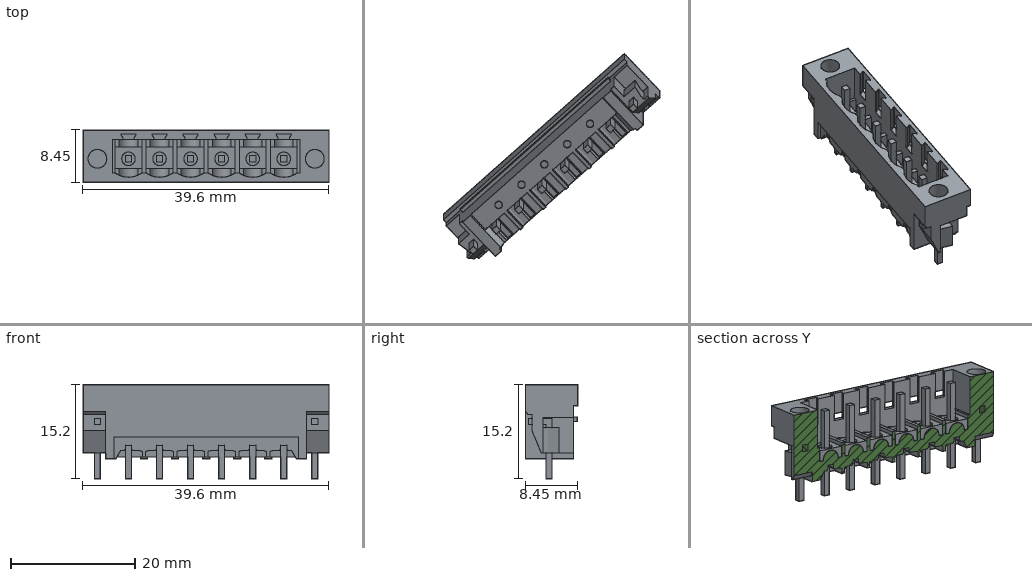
import cadquery as cq


LENGTH = 39.6
DEPTH = 8.45
BODY_DEPTH = 7.75
HEIGHT = 11.95
LIP_HEIGHT = 3.45
HALF_LENGTH = LENGTH / 2
LIP_Z = HEIGHT - LIP_HEIGHT

CONTACTS = 6
ROW_SPAN = 35.0
PITCH = ROW_SPAN / (CONTACTS + 1)
PIN_Y = 3.8
PIN_SIZE = 1.0
PIN_BOTTOM_Z = -3.25
CONTACT_TOP_Z = 11.1
END_PIN_TOP_Z = 6.5
END_PIN_TIP_Y = 0.48
END_PIN_X = ROW_SPAN / 2
PIN_FRONT_Y = PIN_Y - PIN_SIZE / 2
PIN_BACK_Y = PIN_Y + PIN_SIZE / 2

contact_xs = [(i - (CONTACTS - 1) / 2) * PITCH for i in range(CONTACTS)]
gap_xs = [x + PITCH / 2 for x in contact_xs[:-1]]

CAVITY_LENGTH = 30.18
CAVITY_BACK_Y = 6.93
CAVITY_FRONT_Y = 1.55
BULGE_FRONT_Y = 0.85
BAY_WIDTH = 4.3
BAY_FLOOR_Z = 3.15
DIVIDER_Z = 5.55
HUMP_RADIUS = 1.5
PLATFORM_Z = 4.95
PLATFORM_FRONT_Y = 2.25
PLATFORM_BACK_Y = 5.75
PIN_RECESS_DIAMETER = 2.18
PIN_RECESS_DEPTH = 0.4

SLOT_NECK = 1.8
SLOT_WIDTH = 2.38
SLOT_NECK_Y = 7.15
SLOT_FLARE_Y = 7.6
SLOT_BACK_Y = BODY_DEPTH
SLOT_BOTTOM_Z = 7.7

SCREW_DIAMETER = 3.0
SCREW_DEPTH = 3.95

BLOCK_LENGTH = 3.6
BLOCK_BOTTOM_Z = 0.95
BLOCK_FRONT_Y = 1.05
BLOCK_WALL_BACK_Y = 2.85
BLOCK_FOOT_Y = 2.55
TAPER_TOP_Z = 4.5
NOTCH_CEILING_Z = 7.15
NOTCH_BEVEL = 0.45
END_RECESS_DEPTH = 2.85
END_RECESS_TOP_Z = 6.6

COLUMN_INSET = 0.8
COLUMN_BACK_INSET = 0.48
COLUMN_BEND_Y = 3.7
COLUMN_BACK_Y = 5.4
COLUMN_TOP_Z = 5.03

BACK_RIB_Y = 8.35
BACK_RIB_BOTTOM_Z = 5.98
BACK_RIB_TOP_Z = 6.75

RAIL_LENGTH = 1.35
FRONT_RELIEF_DEPTH = 0.48
FRONT_RELIEF_TOP_Z = 3.5
UNDERSIDE_Z = 0.28
SLANT_BOTTOM_X = 14.55
SLANT_TOP_X = 13.8
ARCH_Z = 1.3
ARCH_SIDE_Z = 1.2
ARCH_SIDE_RUN = 0.4
PIN_SLOT_TOP_Z = 2.18
PIN_SLOT_CHAMFER = 0.28
RIB_WIDTH = 0.55
FOOT_DIAMETER = 1.2
FOOT_Y = 5.95

RAIL_INNER_X = HALF_LENGTH - BLOCK_LENGTH - RAIL_LENGTH


def block(x0, x1, y0, y1, z0, z1):
    """Box between two opposite corners."""
    return cq.Workplane("XY").box(x1 - x0, y1 - y0, z1 - z0, centered=False).translate((x0, y0, z0))


def prism_along_y(points, y0, y1):
    """Prism with an XZ outline, from y0 to y1."""
    return cq.Workplane("XZ", origin=(0, y0, 0)).polyline(points).close().extrude(y0 - y1)


def both_ends(right_end):
    """A feature of the +X end together with its mirror image."""
    return right_end.union(right_end.mirror("YZ"))


def envelope():
    body = block(-HALF_LENGTH, HALF_LENGTH, 0, BODY_DEPTH, 0, HEIGHT)
    lip = block(-HALF_LENGTH, HALF_LENGTH, 0, DEPTH, LIP_Z, HEIGHT)
    rib_end = HALF_LENGTH - BLOCK_LENGTH
    back_rib = block(-rib_end, rib_end, CAVITY_BACK_Y, BACK_RIB_Y, BACK_RIB_BOTTOM_Z, BACK_RIB_TOP_Z)
    return body.union(lip).union(back_rib)


def cavity_bay(x):
    """Well of one contact: scalloped front, hump and platform left standing on its floor."""
    left = x - BAY_WIDTH / 2
    right = x + BAY_WIDTH / 2
    well = (
        cq.Workplane("XY", origin=(0, 0, BAY_FLOOR_Z))
        .moveTo(left, CAVITY_BACK_Y)
        .lineTo(left, CAVITY_FRONT_Y)
        .threePointArc((x, BULGE_FRONT_Y), (right, CAVITY_FRONT_Y))
        .lineTo(right, CAVITY_BACK_Y)
        .close()
        .extrude(HEIGHT - BAY_FLOOR_Z)
    )
    hump = (
        cq.Workplane("XZ", origin=(x, 0, BAY_FLOOR_Z))
        .circle(HUMP_RADIUS)
        .extrude(-CAVITY_BACK_Y)
    )
    platform = block(left, right, PLATFORM_FRONT_Y, PLATFORM_BACK_Y, BAY_FLOOR_Z, PLATFORM_Z)
    pin_recess = (
        cq.Workplane("XY", origin=(x, PIN_Y, PLATFORM_Z))
        .circle(PIN_RECESS_DIAMETER / 2)
        .extrude(-PIN_RECESS_DEPTH)
    )
    return well.cut(hump).cut(platform).union(pin_recess)


def coding_slot(x):
    """Dovetail slot, open to the cavity, breaking through the back wall below the lip."""
    neck = SLOT_NECK / 2
    wide = SLOT_WIDTH / 2
    outline = [
        (x - neck, CAVITY_BACK_Y),
        (x - neck, SLOT_NECK_Y),
        (x - wide, SLOT_FLARE_Y),
        (x - wide, SLOT_BACK_Y),
        (x + wide, SLOT_BACK_Y),
        (x + wide, SLOT_FLARE_Y),
        (x + neck, SLOT_NECK_Y),
        (x + neck, CAVITY_BACK_Y),
    ]
    plane = cq.Workplane("XY", origin=(0, 0, SLOT_BOTTOM_Z))
    return plane.polyline(outline).close().extrude(HEIGHT - SLOT_BOTTOM_Z)


def cut_cavity(body):
    half = CAVITY_LENGTH / 2
    body = body.cut(block(-half, half, CAVITY_FRONT_Y, CAVITY_BACK_Y, DIVIDER_Z, HEIGHT))
    for x in contact_xs:
        body = body.cut(cavity_bay(x)).cut(coding_slot(x))
    return body


def cut_screw_holes(body):
    holes = (
        cq.Workplane("XY", origin=(0, 0, HEIGHT))
        .pushPoints([(-END_PIN_X, PIN_Y), (END_PIN_X, PIN_Y)])
        .circle(SCREW_DIAMETER / 2)
        .extrude(-SCREW_DEPTH)
    )
    return body.cut(holes)


def shape_ends(body):
    """Thin each end to a tapered front wall, and hollow it from behind around the pin column."""
    inner_x = HALF_LENGTH - BLOCK_LENGTH
    below = block(inner_x, HALF_LENGTH, 0, DEPTH, 0, BLOCK_BOTTOM_Z)
    front_outline = [
        (0, BLOCK_BOTTOM_Z),
        (BLOCK_FOOT_Y, BLOCK_BOTTOM_Z),
        (BLOCK_FRONT_Y, TAPER_TOP_Z),
        (BLOCK_FRONT_Y, NOTCH_CEILING_Z),
        (NOTCH_BEVEL, NOTCH_CEILING_Z),
        (0, NOTCH_CEILING_Z + NOTCH_BEVEL),
    ]
    front_notch = (
        cq.Workplane("YZ", origin=(inner_x, 0, 0)).polyline(front_outline).close().extrude(BLOCK_LENGTH)
    )
    recess_x = HALF_LENGTH - END_RECESS_DEPTH
    recess = block(
        recess_x, HALF_LENGTH, BLOCK_WALL_BACK_Y, BODY_DEPTH, BLOCK_BOTTOM_Z, END_RECESS_TOP_Z
    )
    column_outline = [
        (recess_x, BLOCK_WALL_BACK_Y),
        (HALF_LENGTH - COLUMN_INSET, BLOCK_WALL_BACK_Y),
        (HALF_LENGTH - COLUMN_INSET, COLUMN_BEND_Y),
        (HALF_LENGTH - COLUMN_BACK_INSET, COLUMN_BACK_Y),
        (recess_x, COLUMN_BACK_Y),
    ]
    column = (
        cq.Workplane("XY", origin=(0, 0, BLOCK_BOTTOM_Z))
        .polyline(column_outline)
        .close()
        .extrude(COLUMN_TOP_Z - BLOCK_BOTTOM_Z)
    )
    return body.cut(both_ends(below.union(front_notch).union(recess.cut(column))))


def arch_half(is_end):
    """Half outline of an underside arch, outward from the pin slot; an end arch closes on a slant."""
    mouth = PIN_SIZE / 2 + PIN_SLOT_CHAMFER
    points = [
        (PIN_SIZE / 2, PIN_SLOT_TOP_Z),
        (PIN_SIZE / 2, ARCH_Z + PIN_SLOT_CHAMFER),
        (mouth, ARCH_Z),
    ]
    if is_end:
        last_x = contact_xs[-1]
        return points + [(SLANT_TOP_X - last_x, ARCH_Z), (SLANT_BOTTOM_X - last_x, 0)]
    side = (PITCH - RIB_WIDTH) / 2
    return points + [(side - ARCH_SIDE_RUN, ARCH_Z), (side, ARCH_SIDE_Z), (side, 0)]


def underside_arch(index):
    """Hollow in front of one pin, with a pin-wide slot at its crown."""
    x = contact_xs[index]
    left = [(x - dx, z) for dx, z in arch_half(index == 0)]
    right = [(x + dx, z) for dx, z in arch_half(index == CONTACTS - 1)]
    return prism_along_y(left[::-1] + right, 0, PIN_BACK_Y)


def shape_underside(body):
    front_relief = block(-RAIL_INNER_X, RAIL_INNER_X, 0, FRONT_RELIEF_DEPTH, 0, FRONT_RELIEF_TOP_Z)
    slant_run = (SLANT_BOTTOM_X - SLANT_TOP_X) * UNDERSIDE_Z / ARCH_Z
    relief_top_x = SLANT_BOTTOM_X - slant_run
    relief_outline = [
        (-SLANT_BOTTOM_X, 0),
        (-relief_top_x, UNDERSIDE_Z),
        (relief_top_x, UNDERSIDE_Z),
        (SLANT_BOTTOM_X, 0),
    ]
    body = body.cut(front_relief).cut(prism_along_y(relief_outline, 0, BODY_DEPTH))
    for index in range(CONTACTS):
        body = body.cut(underside_arch(index))
    feet = (
        cq.Workplane("XY")
        .pushPoints([(x, FOOT_Y) for x in gap_xs])
        .circle(FOOT_DIAMETER / 2)
        .extrude(UNDERSIDE_Z)
    )
    return body.union(feet)


def square_post(x, top_z):
    half = PIN_SIZE / 2
    return block(x - half, x + half, PIN_FRONT_Y, PIN_BACK_Y, PIN_BOTTOM_Z, top_z)


def contact_pin(x):
    return square_post(x, CONTACT_TOP_Z)


def end_pin(x):
    """Bent pin: a leg and a bar that runs forward through the end wall."""
    half = PIN_SIZE / 2
    bar = block(x - half, x + half, END_PIN_TIP_Y, PIN_BACK_Y, END_PIN_TOP_Z - PIN_SIZE, END_PIN_TOP_Z)
    return square_post(x, END_PIN_TOP_Z).union(bar)


contact_pins = [contact_pin(x) for x in contact_xs]
end_pins = [end_pin(x) for x in (-END_PIN_X, END_PIN_X)]

housing = shape_underside(shape_ends(cut_screw_holes(cut_cavity(envelope()))))
for pin in contact_pins + end_pins:
    housing = housing.cut(pin)

result = cq.Compound.makeCompound(
    [housing.val(), *[pin.val() for pin in contact_pins], *[pin.val() for pin in end_pins]]
)